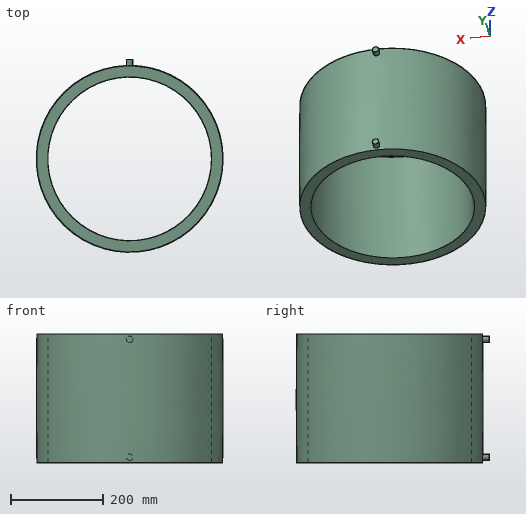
import cadquery as cq

height = 280.0
bore_diameter = 355.0
band_diameter = 406.0
end_diameter = 404.0
band_height = 26.6

pin_diameter = 14.0
pin_tip_y = 216.28
pin_end_margin = 5.0
pin_offset_z = height / 2 - pin_end_margin - pin_diameter / 2


def make_sleeve():
    """Ring with a cylindrical middle band that curves in slightly towards both ends."""
    bore_radius = bore_diameter / 2
    band_radius = band_diameter / 2
    end_radius = end_diameter / 2
    inset = band_radius - end_radius
    crown_length = (height - band_height) / 2
    crown_radius = (crown_length**2 + inset**2) / (2 * inset)
    profile = (
        cq.Workplane("XZ")
        .moveTo(bore_radius, -height / 2)
        .lineTo(end_radius, -height / 2)
        .radiusArc((band_radius, -band_height / 2), -crown_radius)
        .lineTo(band_radius, band_height / 2)
        .radiusArc((end_radius, height / 2), -crown_radius)
        .lineTo(bore_radius, height / 2)
        .close()
    )
    return profile.revolve(360, (0, 0, 0), (0, 1, 0))


def make_pin(z):
    """Radial pin rooted in the middle of the sleeve wall and pointing towards +Y."""
    root_y = (bore_diameter + end_diameter) / 4
    return (
        cq.Workplane("XZ", origin=(0, root_y, z))
        .circle(pin_diameter / 2)
        .extrude(root_y - pin_tip_y)
    )


result = make_sleeve()
for pin_z in (-pin_offset_z, pin_offset_z):
    result = result.union(make_pin(pin_z))